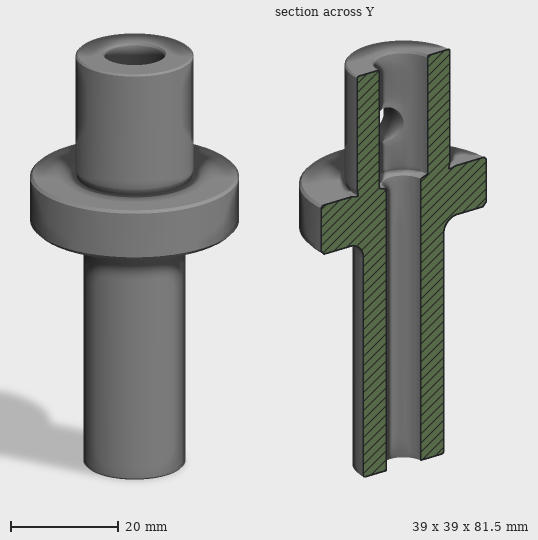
import cadquery as cq
import math

total_height = 81.5
stem_radius = 9.5
stem_chamfer = 0.3
stem_fillet = 3.0

flange_radius = 19.52
flange_bottom = 47.5
flange_thickness = 10.0
flange_bottom_chamfer = 0.8
flange_top_chamfer = 0.5
flange_top = flange_bottom + flange_thickness

journal_radius = 11.0
journal_chamfer = 0.3

relief_depth = 0.25
relief_height = 1.0
relief_outer_radius = 12.3
relief_floor_radius = 11.4

bore_radius = 5.6
bore_mouth_radius = 5.9
bore_mouth_depth = 0.5
bore_bottom = flange_top
through_radius = 4.035
shoulder_angle = 140.0
shoulder_depth = (bore_radius - through_radius) / math.tan(math.radians(shoulder_angle / 2))

cross_hole_radius = 3.4
cross_hole_height = 67.1


def make_turned_body():
    """Revolve the half outline of stem, flange and journal."""
    arc_shift = stem_fillet * (1 - math.sqrt(0.5))
    outline = (
        cq.Workplane("XZ")
        .moveTo(0, 0)
        .lineTo(stem_radius - stem_chamfer, 0)
        .lineTo(stem_radius, stem_chamfer)
        .lineTo(stem_radius, flange_bottom - stem_fillet)
        .threePointArc(
            (stem_radius + arc_shift, flange_bottom - arc_shift),
            (stem_radius + stem_fillet, flange_bottom),
        )
        .lineTo(flange_radius - flange_bottom_chamfer, flange_bottom)
        .lineTo(flange_radius, flange_bottom + flange_bottom_chamfer)
        .lineTo(flange_radius, flange_top - flange_top_chamfer)
        .lineTo(flange_radius - flange_top_chamfer, flange_top)
        .lineTo(relief_outer_radius, flange_top)
        .lineTo(relief_floor_radius, flange_top - relief_depth)
        .lineTo(journal_radius - relief_depth, flange_top - relief_depth)
        .lineTo(journal_radius - relief_depth, flange_top)
        .lineTo(journal_radius, flange_top + relief_height)
        .lineTo(journal_radius, total_height - journal_chamfer)
        .lineTo(journal_radius - journal_chamfer, total_height)
        .lineTo(0, total_height)
        .close()
    )
    return outline.revolve(360, (0, 0, 0), (0, 1, 0))


def make_bore():
    """Revolve the stepped bore with its chamfered mouth."""
    outline = (
        cq.Workplane("XZ")
        .moveTo(0, 0)
        .lineTo(through_radius, 0)
        .lineTo(through_radius, bore_bottom - shoulder_depth)
        .lineTo(bore_radius, bore_bottom)
        .lineTo(bore_radius, total_height - bore_mouth_depth)
        .lineTo(bore_mouth_radius, total_height)
        .lineTo(0, total_height)
        .close()
    )
    return outline.revolve(360, (0, 0, 0), (0, 1, 0))


def make_cross_hole():
    """Cylinder from the axis out through the +Y side of the journal."""
    return (
        cq.Workplane("XZ")
        .center(0, cross_hole_height)
        .circle(cross_hole_radius)
        .extrude(-flange_radius)
    )


flanged_shaft = make_turned_body().cut(make_bore()).cut(make_cross_hole())

result = cq.Compound.makeCompound([flanged_shaft.val()])